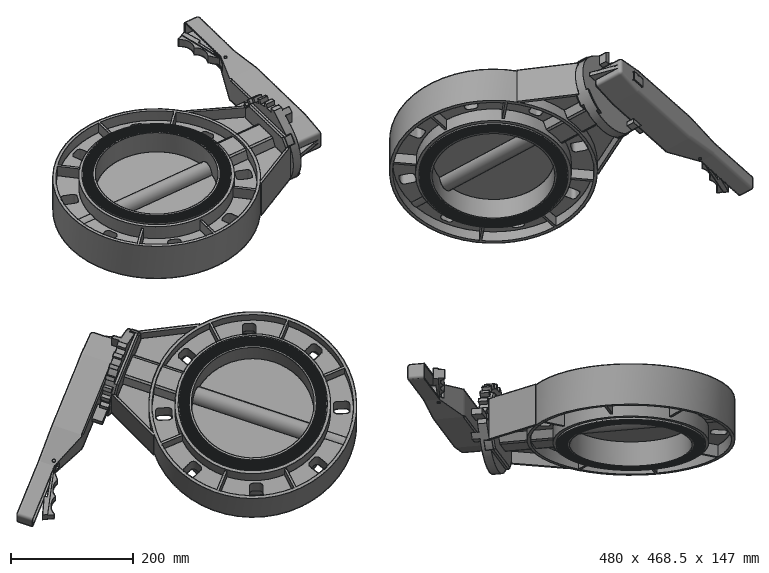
import cadquery as cq
import math


RIM_RADIUS = 169.5
RIM_WALL = 5.5
RIM_HALF_HEIGHT = 35.0
WEB_HALF_HEIGHT = 14.5
HUB_DIAMETER = 254.0
HUB_HALF_HEIGHT = 40.5
LINER_DIAMETER = 243.5
LINER_HALF_HEIGHT = 44.0
BORE_DIAMETER = 200.0
GROOVE_COUNT = 6
FIRST_GROOVE_RADIUS = 103.5
GROOVE_WIDTH = 1.5
GROOVE_PITCH = 3.0
GROOVE_DEPTH = 2.0

RIB_WIDTH = 4.0
RIB_ANGLES = (0, 45, 135, 180, 225, 315)
BOLT_HOLE_COUNT = 8
BOLT_CIRCLE_RADIUS = 145.0
BOLT_HOLE_LENGTH = 27.0
BOLT_HOLE_WIDTH = 22.0
BOLT_HOLE_CORNER = 6.0
BOSS_DIAMETER = 32.0

NECK_FOOT_Y = 132.5
NECK_FOOT_HALF_WIDTH = 108.5
NECK_TOP_HALF_WIDTH = 61.0
NECK_WALL = 5.0
STEM_BLOCK_BASE_HALF_WIDTH = 28.0
STEM_BLOCK_SHOULDER_HALF_WIDTH = 21.0
STEM_BLOCK_TOP_HALF_WIDTH = 17.5
STEM_BLOCK_HALF_HEIGHT = 29.7
STEM_BLOCK_BEVEL = 2.0

FLANGE_BOTTOM_Y = 215.5
FLANGE_HALF_DEPTH = 50.0
FLANGE_HALF_WIDTH = 60.5
FLANGE_CHAMFER = 3.0
RATCHET_BOTTOM_Y = 222.5
RATCHET_TOP_Y = 238.0
RATCHET_RADIUS = 69.5
TOOTH_TIP_RADIUS = 77.5
TOOTH_WIDTH = 6.5
TOOTH_ROOT_DEPTH = 5.0
TOOTH_COUNT = 6
TOOTH_PITCH_ANGLE = 14.8
TOOTH_ROW_CENTRE_ANGLE = 45
CAM_FACE_OFFSET = 5.5
CAM_CREST_OFFSET = 13.5
STOP_TOP_Y = 251.0
STOP_LENGTH = 29.0
STOP_INNER_DISTANCE = 48.5
OPEN_STOP_X = (16.5, 25.0)
CLOSED_STOP_Z = (-33.5, -24.5)
HOOK_INNER_X = 47.5
HOOK_INNER_Z = 36.0
HOOK_TOP_Y = 231.8
HOOK_OUTER_RADIUS = 71.0
RAISED_EDGE_TOP_Y = 241.5
RAISED_EDGE_WIDTH = 4.0
RAISED_EDGE_Z = (-61.0, -33.5)

DISC_THICKNESS = 5.0
SHAFT_DIAMETER = 32.0
STEM_WIDTH = 23.0
STEM_DEPTH = 17.8
STEM_TOP_Y = 299.0

LEVER_TOP_Y = 297.0
LEVER_BOTTOM_Y = 243.0
LEVER_BODY_HALF_DEPTH = 24.0
LEVER_BODY_START_X = -142.0
LEVER_NOSE_START_X = -3.5
LEVER_END_X = 44.0
LEVER_END_HALF_DEPTH = 16.5
GRIP_END_X = -310.5
GRIP_START_X = -206.0
GRIP_BOTTOM_Y = 268.5
GRIP_HALF_DEPTH = 14.0
LEVER_EDGE_RADIUS = 5.5
LEVER_BOTTOM_CHAMFER = 2.5
POINTER_TIP_X = 57.5
POINTER_TOP_Y = 289.5
POINTER_THICKNESS = 7.5
SLOT_END_X = -306.5
SLOT_WIDTH = 23.0
SLOT_DEPTH = 22.0
TRIGGER_WIDTH = 15.5
TRIGGER_BAR_WIDTH = 18.0
TRIGGER_ROOT_X = -209.0
TRIGGER_FRONT_X = -195.0
TRIGGER_HEEL = (-290.0, 249.5)
TRIGGER_STEM_X = -214.0
TRIGGER_STEM_TOP_Y = 271.5
TRIGGER_STEM_BOTTOM_Y = 268.0
TRIGGER_PIN_X = -197.5
TRIGGER_PIN_Y = 272.5
TRIGGER_PIN_DIAMETER = 5.5
TRIGGER_PIN_LENGTH = 32.5
TONGUE_OUTER_X = -100.0
TONGUE_INNER_X = -71.5
TONGUE_BOTTOM_Y = 224.5
TONGUE_LOW_Z = -5.0
TONGUE_HIGH_Z = 5.5


def box(x_range, y_range, z_range):
    """Box between two limits along each axis."""
    size = [high - low for low, high in (x_range, y_range, z_range)]
    corner = cq.Vector(x_range[0], y_range[0], z_range[0])
    return cq.Workplane(cq.Solid.makeBox(*size, corner))


def flow_cylinder(radius, half_height):
    """Cylinder on the flow axis, symmetric about Z = 0."""
    return cq.Workplane("XY").circle(radius).extrude(half_height, both=True)


def plate_plane(y):
    """Plane normal to the stem: local x is X, local y is Z, extrusion runs towards +Y."""
    return cq.Workplane(cq.Plane((0, y, 0), xDir=(1, 0, 0), normal=(0, -1, 0)))


def plate(sketch, bottom_y, top_y):
    """Extrude a closed X-Z outline between two heights on the stem axis."""
    return sketch(plate_plane(bottom_y)).extrude(bottom_y - top_y)


def ring():
    rim = flow_cylinder(RIM_RADIUS, RIM_HALF_HEIGHT)
    rim = rim.cut(flow_cylinder(RIM_RADIUS - RIM_WALL, RIM_HALF_HEIGHT))
    web = flow_cylinder(RIM_RADIUS, WEB_HALF_HEIGHT)
    hub = flow_cylinder(HUB_DIAMETER / 2, HUB_HALF_HEIGHT)
    liner = flow_cylinder(LINER_DIAMETER / 2, LINER_HALF_HEIGHT)
    return rim.union(web).union(hub).union(liner)


def ribs():
    start = LINER_DIAMETER / 2
    end = RIM_RADIUS - RIM_WALL / 2
    rib = box((start, end), (-RIB_WIDTH / 2, RIB_WIDTH / 2), (-RIM_HALF_HEIGHT, RIM_HALF_HEIGHT))
    shapes = cq.Workplane("XY")
    for angle in RIB_ANGLES:
        shapes = shapes.union(rib.rotate((0, 0, 0), (0, 0, 1), angle))
    return shapes


def lower_boss():
    """Round boss of the lower bearing, running through the web at -Y."""
    length = RIM_RADIUS - RIM_WALL / 2 - LINER_DIAMETER / 2
    plane = cq.Workplane("XZ", origin=(0, -LINER_DIAMETER / 2, 0))
    return plane.circle(BOSS_DIAMETER / 2).extrude(length)


def bolt_holes():
    step = 360 / BOLT_HOLE_COUNT
    return (
        cq.Workplane("XY")
        .polarArray(BOLT_CIRCLE_RADIUS, step / 2, 360, BOLT_HOLE_COUNT)
        .rect(BOLT_HOLE_LENGTH, BOLT_HOLE_WIDTH)
        .extrude(RIM_HALF_HEIGHT, both=True)
        .edges("|Z")
        .fillet(BOLT_HOLE_CORNER)
    )


def liner_grooves():
    """Concentric sealing grooves in both faces of the liner."""
    grooves = cq.Workplane("XY")
    for index in range(GROOVE_COUNT):
        inner = FIRST_GROOVE_RADIUS + index * GROOVE_PITCH
        for base in (LINER_HALF_HEIGHT - GROOVE_DEPTH, -LINER_HALF_HEIGHT):
            plane = cq.Workplane("XY", origin=(0, 0, base))
            groove = plane.circle(inner + GROOVE_WIDTH).circle(inner).extrude(GROOVE_DEPTH)
            grooves = grooves.union(groove)
    return grooves


def neck_outline(inset):
    """Trapezoid from the rim up to the ratchet plate, with its slanted sides moved inwards by inset."""
    foot = NECK_FOOT_HALF_WIDTH - inset
    top = NECK_TOP_HALF_WIDTH - inset
    points = [(-foot, NECK_FOOT_Y), (foot, NECK_FOOT_Y), (top, RATCHET_BOTTOM_Y), (-top, RATCHET_BOTTOM_Y)]
    return cq.Workplane("XY").polyline(points).close()


def neck():
    walls = neck_outline(0).extrude(RIM_HALF_HEIGHT, both=True)
    pockets = neck_outline(NECK_WALL).extrude(RIM_HALF_HEIGHT, both=True)
    web = neck_outline(0).extrude(WEB_HALF_HEIGHT, both=True)
    inside_rim = flow_cylinder(RIM_RADIUS - RIM_WALL / 2, RIM_HALF_HEIGHT)
    return walls.cut(pockets).union(web).cut(inside_rim)


def stem_block():
    """Thickened strip around the stem, from the hub to the flange."""
    base = STEM_BLOCK_BASE_HALF_WIDTH
    shoulder = STEM_BLOCK_SHOULDER_HALF_WIDTH
    top = STEM_BLOCK_TOP_HALF_WIDTH
    high = STEM_BLOCK_HALF_HEIGHT
    quarter = [(base, WEB_HALF_HEIGHT), (shoulder, high - STEM_BLOCK_BEVEL), (top, high)]
    upper = quarter + [(-x, z) for x, z in reversed(quarter)]
    points = upper + [(-x, -z) for x, z in upper]
    return plate(lambda plane: plane.polyline(points).close(), LINER_DIAMETER / 2, FLANGE_BOTTOM_Y)


def flange():
    disc = plate(lambda plane: plane.circle(RATCHET_RADIUS), FLANGE_BOTTOM_Y, RATCHET_BOTTOM_Y)
    limits = box(
        (-FLANGE_HALF_WIDTH, FLANGE_HALF_WIDTH),
        (FLANGE_BOTTOM_Y, RATCHET_BOTTOM_Y),
        (-FLANGE_HALF_DEPTH, FLANGE_HALF_DEPTH),
    )
    return disc.intersect(limits).faces("<Y").edges().chamfer(FLANGE_CHAMFER)


def hooks():
    """Two corner lugs that hold the ratchet plate, diagonally opposite on the flange."""
    heights = (FLANGE_BOTTOM_Y + FLANGE_CHAMFER, HOOK_TOP_Y)
    block = box((HOOK_INNER_X, FLANGE_HALF_WIDTH), heights, (HOOK_INNER_Z, FLANGE_HALF_DEPTH))
    block = block.intersect(plate(lambda plane: plane.circle(HOOK_OUTER_RADIUS), *heights))
    return block.union(block.rotate((0, 0, 0), (0, 1, 0), 180))


def cam(bottom_y, top_y):
    """End cam of the tooth row: a steep face and a crest running out tangent to the plate."""
    crest_angle = math.atan2(TOOTH_TIP_RADIUS, CAM_CREST_OFFSET)
    crest_distance = math.hypot(CAM_CREST_OFFSET, TOOTH_TIP_RADIUS)
    tangent_angle = crest_angle - math.acos(RATCHET_RADIUS / crest_distance)
    tangent_point = (RATCHET_RADIUS * math.cos(tangent_angle), RATCHET_RADIUS * math.sin(tangent_angle))
    points = [
        (0, 0),
        (CAM_FACE_OFFSET, 0),
        (CAM_FACE_OFFSET, TOOTH_TIP_RADIUS),
        (CAM_CREST_OFFSET, TOOTH_TIP_RADIUS),
        tangent_point,
    ]
    return plate(lambda plane: plane.polyline(points).close(), bottom_y, top_y)


def mirror_across_teeth(shape):
    """Swap the two ends of the tooth row, which is symmetric about the line X = -Z."""
    return shape.mirror("XY").rotate((0, 0, 0), (0, 1, 0), 90)


def ratchet_outline(bottom_y, top_y):
    disc = plate(lambda plane: plane.circle(RATCHET_RADIUS), bottom_y, top_y)
    end_cam = cam(bottom_y, top_y)
    return disc.union(end_cam).union(mirror_across_teeth(end_cam))


def ratchet():
    body = ratchet_outline(RATCHET_BOTTOM_Y, RATCHET_TOP_Y)
    tooth = box(
        (-TOOTH_WIDTH / 2, TOOTH_WIDTH / 2),
        (RATCHET_BOTTOM_Y, RATCHET_TOP_Y),
        (RATCHET_RADIUS - TOOTH_ROOT_DEPTH, TOOTH_TIP_RADIUS),
    )
    for index in range(TOOTH_COUNT):
        angle = TOOTH_ROW_CENTRE_ANGLE + (index - (TOOTH_COUNT - 1) / 2) * TOOTH_PITCH_ANGLE
        body = body.union(tooth.rotate((0, 0, 0), (0, 1, 0), -angle))
    return body


def lever_stops():
    """Two posts that limit the lever swing, flush with the edge of the ratchet plate."""
    heights = (RATCHET_TOP_Y, STOP_TOP_Y)
    outer_distance = STOP_INNER_DISTANCE + STOP_LENGTH
    open_stop = box(OPEN_STOP_X, heights, (STOP_INNER_DISTANCE, outer_distance))
    closed_stop = box((-outer_distance, -STOP_INNER_DISTANCE), heights, CLOSED_STOP_Z)
    return open_stop.union(closed_stop).intersect(ratchet_outline(*heights))


def raised_edge():
    """Low curved ridge along the edge of the ratchet plate."""
    arc = plate(
        lambda plane: plane.circle(RATCHET_RADIUS).circle(RATCHET_RADIUS - RAISED_EDGE_WIDTH),
        RATCHET_TOP_Y,
        RAISED_EDGE_TOP_Y,
    )
    return arc.intersect(box((0, RATCHET_RADIUS), (RATCHET_TOP_Y, RAISED_EDGE_TOP_Y), RAISED_EDGE_Z))


def stem(bottom_y):
    """Flat-sided stem that turns the disc."""
    return box(
        (-STEM_WIDTH / 2, STEM_WIDTH / 2),
        (bottom_y, STEM_TOP_Y),
        (-STEM_DEPTH / 2, STEM_DEPTH / 2),
    )


def make_housing():
    body = ring().union(ribs()).union(lower_boss()).cut(bolt_holes())
    body = body.union(neck()).union(stem_block())
    body = body.union(flange()).union(hooks()).union(ratchet())
    body = body.union(lever_stops()).union(raised_edge())
    bore = flow_cylinder(BORE_DIAMETER / 2, LINER_HALF_HEIGHT)
    return body.cut(liner_grooves()).cut(bore).cut(stem(0))


def make_disc():
    closing_plate = flow_cylinder(BORE_DIAMETER / 2, DISC_THICKNESS / 2)
    shaft = cq.Workplane("XZ").circle(SHAFT_DIAMETER / 2).extrude(BORE_DIAMETER / 2, both=True)
    shaft = shaft.intersect(flow_cylinder(BORE_DIAMETER / 2, SHAFT_DIAMETER))
    return closing_plate.union(shaft).union(stem(0))


def lever_arm():
    """Grip, tapering transition and body, as a side outline trimmed by a plan outline."""
    side = [
        (GRIP_END_X, LEVER_TOP_Y),
        (GRIP_END_X, GRIP_BOTTOM_Y),
        (GRIP_START_X, GRIP_BOTTOM_Y),
        (LEVER_BODY_START_X, LEVER_BOTTOM_Y),
        (LEVER_END_X, LEVER_BOTTOM_Y),
        (LEVER_END_X, LEVER_TOP_Y),
    ]
    edge = [
        (GRIP_END_X, GRIP_HALF_DEPTH),
        (GRIP_START_X, GRIP_HALF_DEPTH),
        (LEVER_BODY_START_X, LEVER_BODY_HALF_DEPTH),
        (LEVER_NOSE_START_X, LEVER_BODY_HALF_DEPTH),
        (LEVER_END_X, LEVER_END_HALF_DEPTH),
    ]
    plan = edge + [(x, -z) for x, z in reversed(edge)]
    arm = cq.Workplane("XY").polyline(side).close().extrude(LEVER_BODY_HALF_DEPTH, both=True)
    arm = arm.intersect(plate(lambda plane: plane.polyline(plan).close(), LEVER_BOTTOM_Y, LEVER_TOP_Y))
    arm = arm.faces("<X or >X").edges("|Y").fillet(LEVER_EDGE_RADIUS)
    arm = arm.faces(">Y").edges().fillet(LEVER_EDGE_RADIUS)
    return arm.faces("<Y").edges().chamfer(LEVER_BOTTOM_CHAMFER)


def pointer():
    """Thin triangular fin on the end of the lever body."""
    points = [
        (LEVER_END_X, POINTER_TOP_Y),
        (POINTER_TIP_X, LEVER_BOTTOM_Y),
        (0, LEVER_BOTTOM_Y),
        (0, POINTER_TOP_Y),
    ]
    return cq.Workplane("XY").polyline(points).close().extrude(POINTER_THICKNESS / 2, both=True)


def trigger_slot():
    half = SLOT_WIDTH / 2
    return box((SLOT_END_X, TRIGGER_ROOT_X), (LEVER_BOTTOM_Y, GRIP_BOTTOM_Y + SLOT_DEPTH), (-half, half))


def trigger():
    """Finger trigger: a flat bar with a scalloped grip below it, rooted in the slot."""
    root_y = GRIP_BOTTOM_Y + SLOT_DEPTH
    bar_outline = [
        TRIGGER_HEEL,
        (-293.0, 257.0),
        (-261.0, 266.5),
        (-259.0, 261.5),
        (TRIGGER_ROOT_X, TRIGGER_STEM_TOP_Y),
        (TRIGGER_ROOT_X, TRIGGER_STEM_BOTTOM_Y),
    ]
    bar = cq.Workplane("XY").polyline(bar_outline).close().extrude(TRIGGER_BAR_WIDTH / 2, both=True)
    finger_grip = (
        cq.Workplane("XY")
        .moveTo(*TRIGGER_HEEL)
        .lineTo(-286.0, 240.0)
        .lineTo(-284.0, 240.0)
        .threePointArc((-272.5, 250.0), (-253.5, 249.0))
        .threePointArc((-243.0, 257.5), (-224.5, 256.0))
        .lineTo(TRIGGER_ROOT_X, TRIGGER_STEM_BOTTOM_Y)
        .lineTo(TRIGGER_ROOT_X, root_y)
        .lineTo(TRIGGER_STEM_X, root_y)
        .lineTo(TRIGGER_STEM_X, TRIGGER_STEM_TOP_Y)
        .close()
        .extrude(TRIGGER_WIDTH / 2, both=True)
    )
    return bar.union(finger_grip)


def finger_recess():
    """Square-sided recess in front of the trigger, cut into the sloping underside of the lever."""
    half = TRIGGER_WIDTH / 2
    return box((TRIGGER_ROOT_X, TRIGGER_FRONT_X), (LEVER_BOTTOM_Y, GRIP_BOTTOM_Y), (-half, half))


def trigger_pin():
    plane = cq.Workplane("XY").center(TRIGGER_PIN_X, TRIGGER_PIN_Y)
    return plane.circle(TRIGGER_PIN_DIAMETER / 2).extrude(TRIGGER_PIN_LENGTH / 2, both=True)


def tongue():
    """Latch tongue under the lever that drops between the ratchet teeth."""
    return box(
        (TONGUE_OUTER_X, TONGUE_INNER_X),
        (TONGUE_BOTTOM_Y, LEVER_BOTTOM_Y + LEVER_BOTTOM_CHAMFER),
        (TONGUE_LOW_Z, TONGUE_HIGH_Z),
    )


def make_lever():
    body = lever_arm().union(pointer()).cut(trigger_slot()).cut(finger_recess())
    body = body.union(trigger()).union(trigger_pin()).union(tongue())
    return body.cut(stem(0))


housing = make_housing()
disc = make_disc()
lever = make_lever()

result = cq.Compound.makeCompound([housing.val(), disc.val(), lever.val()])